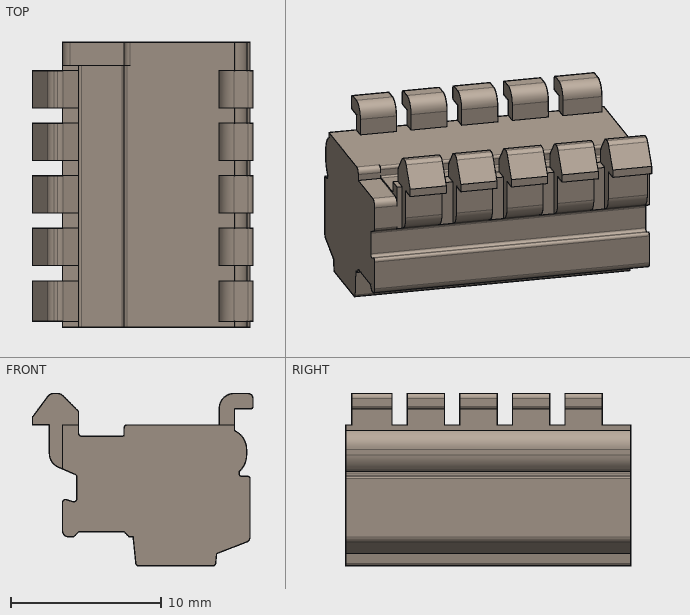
import cadquery as cq
import math

length = 19.0
body_right = 12.5
body_top = 9.4
total_height = 11.5

trough_left = 1.08
trough_right = 4.1
trough_floor = 8.65
trough_radius = 0.2
trough_inner_radius = 0.12

end_trough_length = 1.55
end_trough_floor = 8.58
end_trough_radius = 0.4
end_shoulder_radius = 0.5
end_slope_radius = 0.2

slope_start_z = 6.46
recess_wall = 0.95
slope_end_z = 6.05
lip_z = 4.51
lip_root_z = 4.21
lip_radius = 0.2
lip_root_radius = 0.2
small_radius = 0.15

foot_bottom = 1.94
foot_radius = 0.4
foot_flat_end = 0.75
ledge_z = 2.28
ledge_rise = ledge_z - foot_bottom
ledge_left = foot_flat_end + ledge_rise
ledge_right = 4.1
keel_left_top = 4.7
keel_left = 4.9
keel_right = 10.2
keel_right_top = 10.28
keel_right_z = 0.82
keel_radius = 0.2

ramp_end_z = 1.68
ramp_radius = 0.35
groove_z = 5.98
groove_depth_x = 11.78
groove_upper_z = 6.28
bulge_right = 12.28
bulge_lower_z = 6.83
bulge_lower_radius = 1.5
bulge_upper_z = 8.63
bulge_upper_radius = 1.4
top_right = 11.47
bulge_start_z = 9.02

hook_count = 5
hook_pitch = 3.5
hook_width = 2.5
first_hook_start = 0.4
first_hook_end = 3.1

head_left = -2.0
head_left_z = 9.92
head_right_z = 10.3
head_apex_left = -0.83
head_apex_right = trough_left - (total_height - head_right_z)
head_radius = 0.5
stem_left = -0.88
stem_radius = 1.0
root_right = recess_wall / 2

arm_thickness = 1.03
arm_left = top_right - arm_thickness
arm_tip = 12.7
arm_outer_radius = 1.0
arm_tip_top_radius = 0.35


def rounded_outline(corners):
    """Closed XZ wire from (x, z, radius) corners; a zero radius leaves the corner sharp."""
    wire = None
    for i, (x, z, radius) in enumerate(corners):
        corner = cq.Vector(x, z)
        to_previous = (cq.Vector(*corners[i - 1][:2]) - corner).normalized()
        to_next = (cq.Vector(*corners[(i + 1) % len(corners)][:2]) - corner).normalized()
        half_angle = to_previous.getAngle(to_next) / 2
        setback = radius / math.tan(half_angle)
        start = corner + to_previous * setback
        if wire is None:
            wire = cq.Workplane("XZ").moveTo(start.x, start.y)
        else:
            wire = wire.lineTo(start.x, start.y)
        if radius > 0:
            bisector = (to_previous + to_next).normalized()
            middle = corner + bisector * (radius / math.sin(half_angle) - radius)
            end = corner + to_next * setback
            wire = wire.threePointArc((middle.x, middle.y), (end.x, end.y))
    return wire.close()


def prism(corners, y_start, y_end):
    """Rounded outline extruded from y_start to y_end."""
    return rounded_outline(corners).extrude(y_start - y_end).translate((0, y_start, 0))


def body_section(upper_left_corners, slope_start_radius):
    """Body outline, counter-clockwise from the left wall; the upper left varies along Y."""
    left_and_underside = [
        (0, slope_start_z, slope_start_radius),
        (recess_wall, slope_end_z, small_radius),
        (recess_wall, lip_root_z, lip_root_radius),
        (0, lip_z, lip_radius),
        (0, foot_bottom, foot_radius),
        (foot_flat_end, foot_bottom, 0),
        (ledge_left, ledge_z, 0),
        (ledge_right, ledge_z, 0),
        (ledge_right + ledge_rise, foot_bottom, 0),
        (keel_left_top, foot_bottom, 0),
        (keel_left, 0, keel_radius),
        (keel_right, 0, keel_radius),
        (keel_right_top, keel_right_z, 0),
    ]
    right_side = [
        (body_right, ramp_end_z, ramp_radius),
        (body_right, groove_z, small_radius),
        (groove_depth_x, groove_z, small_radius),
        (groove_depth_x, groove_upper_z, 0),
        (bulge_right, bulge_lower_z, bulge_lower_radius),
        (bulge_right, bulge_upper_z, bulge_upper_radius),
        (top_right, bulge_start_z, 0),
        (top_right, body_top, 0),
    ]
    return left_and_underside + right_side + upper_left_corners


def make_body():
    """Main stretch with a walled trough, then the end stretch with the open trough."""
    walled_trough = [
        (trough_right, body_top, trough_radius),
        (trough_right, trough_floor, trough_inner_radius),
        (trough_left, trough_floor, trough_radius),
        (trough_left, body_top, 0),
        (0, body_top, 0),
    ]
    open_trough = [
        (trough_right, body_top, end_trough_radius),
        (trough_right, end_trough_floor, 0),
        (0, end_trough_floor, end_shoulder_radius),
    ]
    end_start = length - end_trough_length
    main = prism(body_section(walled_trough, 0), 0, end_start)
    end = prism(body_section(open_trough, end_slope_radius), end_start, length)
    return main.union(end)


def left_hook(y_start, y_end):
    """Barbed head on a stem that curves into the sloping underside of the body."""
    slope = (slope_end_z - slope_start_z) / recess_wall
    corners = [
        (head_left, body_top, 0),
        (stem_left, body_top, 0),
        (stem_left, slope_start_z + slope * stem_left, stem_radius),
        (root_right, slope_start_z + slope * root_right, 0),
        (root_right, body_top, 0),
        (trough_left, body_top, 0),
        (trough_left, head_right_z, 0),
        (head_apex_right, total_height, head_radius),
        (head_apex_left, total_height, head_radius),
        (head_left, head_left_z, 0),
    ]
    return prism(corners, y_start, y_end)


def right_hook(y_start, y_end):
    """Upright arm that bends over to the right."""
    corners = [
        (arm_left, body_top, 0),
        (top_right, body_top, 0),
        (top_right, total_height - arm_thickness, 0),
        (arm_tip, total_height - arm_thickness, small_radius),
        (arm_tip, total_height, arm_tip_top_radius),
        (arm_left, total_height, arm_outer_radius),
    ]
    return prism(corners, y_start, y_end)


result = make_body()
for i in range(hook_count):
    hook_end = first_hook_end + i * hook_pitch
    hook_start = first_hook_start if i == 0 else hook_end - hook_width
    result = result.union(left_hook(hook_start, hook_end))
    result = result.union(right_hook(hook_start, hook_end))